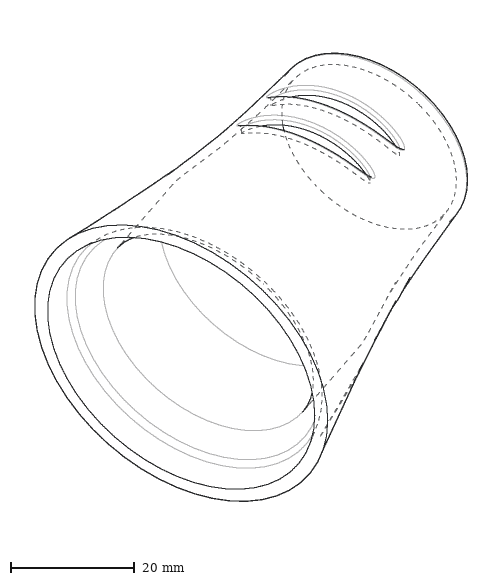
import cadquery as cq


LENGTH = 63.25
RIM_RADIUS = 27.43
WALL = 1.6

FLARE_LOWER = (23.0, 20.2)
FLARE_UPPER = (19.6, 40.3)
FLARE_END = (17.85, 61.2)
FLARE_START_DIRECTION = (-0.23, 1)
FLARE_END_DIRECTION = (-0.07, 1)

DOME_EDGE = (17.2, 61.95)
CORNER_MIDDLE = (17.68, 61.75)
DOME_RISE = LENGTH - DOME_EDGE[1]
DOME_RADIUS = (DOME_EDGE[0] ** 2 + DOME_RISE ** 2) / (2 * DOME_RISE)
DOME_CENTRE = LENGTH - DOME_RADIUS

MOUTH_RADIUS = 25.0
MOUTH_END = (23.85, 4.25)
SHOULDER_INFLECTION = (22.9, 5.28)
SEAT_RADIUS = 20.0
SEAT_START = 9.3
SEAT_END = 27.4
INNER_UPPER = (18.0, FLARE_UPPER[1])
FLOOR_RADIUS = 16.35

SLOT_POSITIONS = (40.05, 49.6)
SLOT_HALF_LENGTH = 12.0
SLOT_HALF_WIDTH = 1.75
SLOT_EDGE_ROUND = 0.5


def dome_height(radius, thickness):
    """Y of the dome surface, moved inward by thickness, at a given radius."""
    return DOME_CENTRE + ((DOME_RADIUS - thickness) ** 2 - radius ** 2) ** 0.5


def revolve_about_y(profile):
    return profile.close().revolve(360, (0, 0, 0), (0, 1, 0))


def make_body():
    dome_middle = DOME_EDGE[0] / 2
    profile = (
        cq.Workplane("XY")
        .lineTo(RIM_RADIUS, 0)
        .spline(
            [FLARE_LOWER, FLARE_UPPER, FLARE_END],
            tangents=[FLARE_START_DIRECTION, FLARE_END_DIRECTION],
            includeCurrent=True,
        )
        .threePointArc(CORNER_MIDDLE, DOME_EDGE)
        .threePointArc((dome_middle, dome_height(dome_middle, 0)), (0, LENGTH))
    )
    return revolve_about_y(profile)


def make_bore():
    floor_middle = FLOOR_RADIUS / 2
    floor_edge = (FLOOR_RADIUS, dome_height(FLOOR_RADIUS, WALL))
    profile = (
        cq.Workplane("XY")
        .moveTo(0, LENGTH - WALL)
        .threePointArc((floor_middle, dome_height(floor_middle, WALL)), floor_edge)
        .spline([INNER_UPPER, (SEAT_RADIUS, SEAT_END)], includeCurrent=True)
        .lineTo(SEAT_RADIUS, SEAT_START)
        .tangentArcPoint(SHOULDER_INFLECTION, relative=False)
        .tangentArcPoint(MOUTH_END, relative=False)
        .lineTo(MOUTH_RADIUS, 0)
        .lineTo(0, 0)
    )
    return revolve_about_y(profile)


def make_slot(position):
    return (
        cq.Workplane("XY")
        .center(0, position)
        .ellipse(SLOT_HALF_LENGTH, SLOT_HALF_WIDTH)
        .extrude(RIM_RADIUS)
    )


def slot_mouth_selector(position):
    """Box around the outer edge of one slot, above the axis plane where the cut begins."""
    box_bottom = SEAT_RADIUS / 2
    reach = SLOT_HALF_WIDTH + SLOT_EDGE_ROUND
    lower_corner = (-RIM_RADIUS, position - reach, box_bottom)
    upper_corner = (RIM_RADIUS, position + reach, RIM_RADIUS)
    return cq.selectors.BoxSelector(lower_corner, upper_corner, boundingbox=True)


body = make_body()
for slot_position in SLOT_POSITIONS:
    body = body.cut(make_slot(slot_position))
for slot_position in SLOT_POSITIONS:
    edges = body.edges(slot_mouth_selector(slot_position))
    body = edges.fillet(SLOT_EDGE_ROUND)

result = body.cut(make_bore())